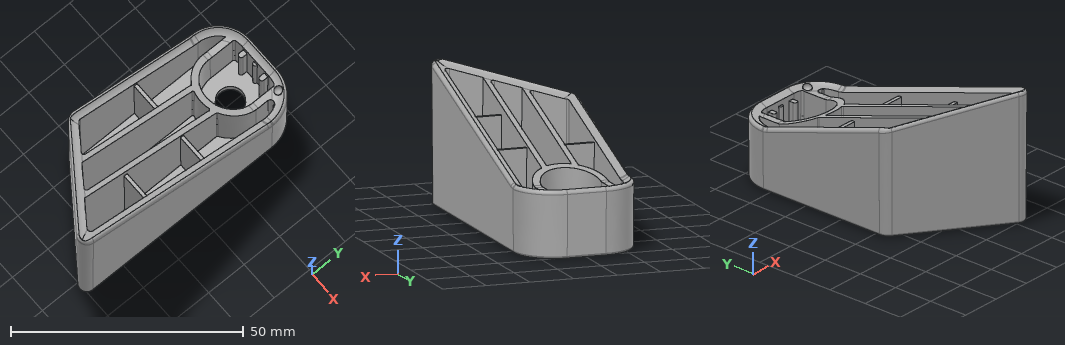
import cadquery as cq
import math

half_width = 13.5
back_y = 9.35
left_corner_y = -34.3
slant_angle = 36.4
draft = 0.45
back_corner_radius = 9.05
left_corner_radius = 3.05
right_corner_radius = 2.0
bottom_fillet = 0.5

level_height = 15.2
slope_angle = 18.1
bend_radius = 3.85
rim_fillet = 1.0

cove_depth = 1.05
cove_radius = 3.7
cove_outset = 0.55
crest_width = 0.3

wall = 2.35
floor = 2.0
ring_inner_radius = 6.7
ring_outer_radius = 8.6
rib_inner_x = 2.7
rib_outer_x = 4.35
pocket_corner_radius = 0.55
web_corner_radius = 0.3
hole_diameter = 6.55

cross_rib_width = 0.85
cross_ribs = [(-1, -17.2, 18.95), (1, -17.2, 18.95), (1, -33.1, 22.85)]

nub_x = 3.5
nub_width = 1.25
nub_length = 1.7
nub_top = 13.0
bead_radius = 0.55

fill_round_x = 9.35
fill_round_y = 3.4
fill_round_radius = 0.8
fill_length = 3.7
dimple_x = 8.3
dimple_y = 6.55
dimple_z = 14.3
dimple_radius = 1.05

back_wall_y = back_y - wall
tall = 37.2
far = 74.35
overlap = 0.6


def plan_corners(inset):
    """Sharp corners of the plan moved inwards by inset: back left, back right, front right, front left."""
    slope = math.tan(math.radians(slant_angle))
    x = half_width - inset
    left_y = left_corner_y + inset / math.cos(math.radians(slant_angle)) - slope * inset
    right_y = left_y - 2 * slope * x
    return [(-x, back_y - inset), (x, back_y - inset), (x, right_y), (-x, left_y)]


def round_upright(block, corner, radius):
    """Round the upright edge of the block nearest to the plan point."""
    edge = cq.selectors.NearestToPointSelector((*corner, tall / 2))
    return block.edges(edge).fillet(radius)


def plan_prism(inset, radii):
    """Upright block over the inset plan, with rounded upright edges."""
    corners = plan_corners(inset)
    block = cq.Workplane("XY").polyline(corners).close().extrude(tall)
    for corner, radius in zip(corners, radii):
        block = round_upright(block, corner, radius)
    return block


def inset_radii(inset):
    """Corner radii of the plan moved inwards by inset, in the order of plan_corners."""
    radii = [back_corner_radius, back_corner_radius, right_corner_radius, left_corner_radius]
    return [max(radius - inset, pocket_corner_radius) for radius in radii]


def drafted_block(inset):
    """Block over the inset plan, widening upwards by the draft angle."""
    prism = plan_prism(inset, inset_radii(inset))
    return prism.faces("<Z").wires().toPending().extrude(tall, combine=False, taper=-draft)


def space_above_top(drop):
    """Everything above the top surface lowered by drop."""
    rise = far * math.tan(math.radians(slope_angle))
    z = level_height - drop
    profile = [(far, z), (0, z), (-far, z + rise), (-far, far), (far, far)]
    space = cq.Workplane("YZ", origin=(-far, 0, 0)).polyline(profile).close().extrude(2 * far)
    bend = cq.selectors.NearestToPointSelector((0, 0, z))
    return space.edges(bend).fillet(bend_radius)


def fillet_outline(solid, facing, radius):
    """Fillet the outline of the faces that face up (facing = 1) or down (facing = -1)."""
    faces = [face for face in solid.faces().vals() if facing * face.normalAt().z > 0.5]
    edges = [edge for face in faces for edge in face.Edges()]
    outline = [edge for edge in edges if sum(edge.isSame(other) for other in edges) == 1]
    return solid.newObject(outline).fillet(radius)


def make_body():
    body = drafted_block(0).cut(space_above_top(0))
    body = fillet_outline(body, 1, rim_fillet)
    return fillet_outline(body, -1, bottom_fillet)


def make_cove():
    """Tool that sinks the inner part of the top, with a rounded lower edge."""
    cove = plan_prism(-cove_outset, inset_radii(-cove_outset)[:2]).intersect(space_above_top(cove_depth))
    cove = fillet_outline(cove, -1, cove_radius)
    return cove.intersect(plan_prism(crest_width, inset_radii(crest_width)))


def make_webs():
    """Ring wall around the mounting hole, open to the back wall, and the two long ribs."""
    base = cq.Workplane("XY")

    def arch(radius, taper):
        shape = base.moveTo(-radius, 0).threePointArc((0, -radius), (radius, 0))
        return shape.lineTo(radius, back_y).lineTo(-radius, back_y).close().extrude(tall, taper=taper)

    webs = arch(ring_outer_radius, draft)
    rib_length = far - ring_inner_radius
    for side in (-1, 1):
        rib = base.center(side * (rib_inner_x + rib_outer_x) / 2, -ring_inner_radius - rib_length / 2)
        webs = webs.union(rib.rect(rib_outer_x - rib_inner_x, rib_length).extrude(tall, taper=draft))
    webs = webs.cut(arch(ring_inner_radius, -draft))
    fill_left = ring_outer_radius - overlap
    fill_right = fill_round_x + fill_round_radius
    fill = base.rect(fill_right - fill_left, fill_length).extrude(tall)
    fill = fill.translate(((fill_left + fill_right) / 2, fill_round_y + fill_length / 2, 0))
    fill = fill.cut(base.center(fill_round_x, fill_round_y).circle(fill_round_radius).extrude(tall))
    return webs.union(fill)


def make_pockets():
    """Tool that hollows the body down to the floor, leaving the webs standing."""
    pockets = drafted_block(wall).cut(make_webs())
    slope = math.tan(math.radians(slant_angle))
    front_left_x, front_left_y = plan_corners(wall)[3]
    for x in (-rib_outer_x, rib_inner_x):
        y = front_left_y - slope * (x - front_left_x)
        pockets = round_upright(pockets, (x, y), pocket_corner_radius)
    for side in (-1, 1):
        pockets = round_upright(pockets, (side * ring_inner_radius, back_wall_y), pocket_corner_radius)
        for x in (rib_inner_x, rib_outer_x):
            y = -math.sqrt(ring_outer_radius**2 - x**2)
            pockets = round_upright(pockets, (side * x, y), web_corner_radius)
    below_floor = cq.Workplane("XY").rect(2 * far, 2 * far).extrude(floor)
    return pockets.cut(below_floor)


def add_cross_ribs(body):
    inner_end = rib_outer_x - overlap
    length = half_width - wall / 2 - inner_end
    for side, y, top in cross_ribs:
        rib = cq.Workplane("XY").box(length, cross_rib_width, top, centered=(True, True, False))
        body = body.union(rib.translate((side * (inner_end + length / 2), y, 0)))
    return body


def add_nubs(body):
    base = cq.Workplane("XY")
    tip_y = back_wall_y - nub_length + nub_width / 2
    root_y = back_wall_y + wall / 2
    for side in (-1, 1):
        tip = base.center(side * nub_x, tip_y).circle(nub_width / 2).extrude(nub_top)
        stem = base.center(side * nub_x, (tip_y + root_y) / 2).rect(nub_width, root_y - tip_y).extrude(nub_top)
        body = body.union(stem.union(tip))
    bead = base.center(0, back_wall_y).circle(bead_radius).extrude(nub_top)
    return body.union(bead)


result = make_body().cut(make_cove()).cut(make_pockets())
result = add_nubs(add_cross_ribs(result))

mounting_hole = cq.Workplane("XY").circle(hole_diameter / 2).extrude(tall)
dimple = cq.Workplane("XY").sphere(dimple_radius).translate((dimple_x, dimple_y, dimple_z))
result = result.cut(mounting_hole).cut(dimple)